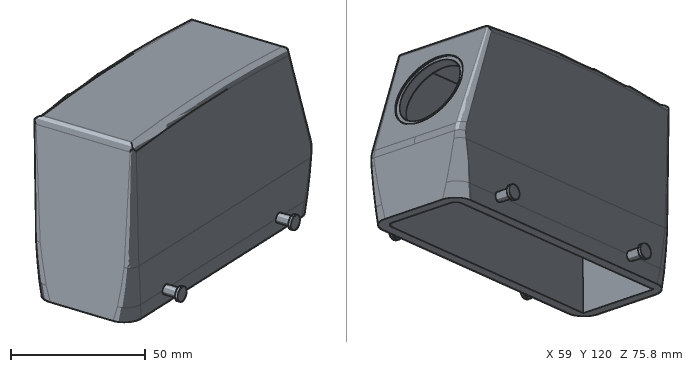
import cadquery as cq
import math

length = 120.0
half_length = length / 2
half_width = 22.7
wall = 4.5
end_draft = math.radians(0.7)

skirt_height = 6.5
flank_height = 23.3
flank_inset = 0.6

bottom_radius = 7.5
skirt_radius = 6.2
front_flank_radius = 4.1
rear_flank_radius = 3.2
rear_bend_radius = 2.9
front_top_radius = 1.5
rear_top_radius = 1.5

slope_angle = math.radians(20)
bend_height = 28.2
bend_reach = 1.8

crown_height = 75.8
crown_radius = 624.0
crown_y = -7.2
top_rounding = 2.9
rear_top_rounding = 1.7
column_height = 79.2

entry_diameter = 28.5
entry_rim_diameter = 31.8
entry_rim_depth = 0.6
entry_y = 51.4

pin_y = 37.1
pin_z = 6.1
pin_tip_x = 29.5
pin_diameter = 4.1
pin_head_diameter = 6.0
pin_head_thickness = 1.2

skirt_slope = 2 * flank_inset / (flank_height - skirt_height)
bottom_half_width = half_width - flank_inset - skirt_slope * skirt_height


def end_y(z):
    """Distance of a drafted end face from the middle."""
    return half_length - z * math.tan(end_draft)


def slope_y(z):
    """Position of the inclined rear face."""
    return end_y(bend_height) - (z - bend_height) * math.tan(slope_angle)


def crown_z(y):
    """Height of the crowned top."""
    return crown_height - crown_radius + math.sqrt(crown_radius**2 - (y - crown_y) ** 2)


def section(z, x, front, rear):
    """Horizontal outline of half width x; each end is (y, corner radius), radius 0 being square."""
    front_edge, front_radius = front
    rear_edge, rear_radius = rear
    right_half = cq.Workplane("XY", origin=(0, 0, z)).moveTo(0, front_edge)
    if front_radius > 0:
        inset = front_radius * (1 - math.sqrt(0.5))
        right_half = right_half.lineTo(x - front_radius, front_edge).threePointArc(
            (x - inset, front_edge + inset), (x, front_edge + front_radius))
    else:
        right_half = right_half.lineTo(x, front_edge)
    if rear_radius > 0:
        inset = rear_radius * (1 - math.sqrt(0.5))
        right_half = right_half.lineTo(x, rear_edge - rear_radius).threePointArc(
            (x - inset, rear_edge - inset), (x - rear_radius, rear_edge))
    else:
        right_half = right_half.lineTo(x, rear_edge)
    return right_half.lineTo(0, rear_edge).mirrorY().val()


def loft(sections, ruled=True):
    """Solid through the given outlines, straight between them when ruled."""
    return cq.Workplane(obj=cq.Solid.makeLoft(sections, ruled))


def lower_body():
    """Inclined skirt and curved flank, with both ends rounded."""
    middle_height = (skirt_height + flank_height) / 2
    bottom = section(0, bottom_half_width, (-end_y(0), bottom_radius), (end_y(0), bottom_radius))
    skirt = section(
        skirt_height, half_width - flank_inset,
        (-end_y(skirt_height), skirt_radius), (end_y(skirt_height), skirt_radius),
    )
    middle = section(
        middle_height, half_width - flank_inset / 4,
        (-end_y(middle_height), (skirt_radius + front_flank_radius) / 2),
        (end_y(middle_height), (skirt_radius + rear_flank_radius) / 2),
    )
    flank = section(
        flank_height, half_width,
        (-end_y(flank_height), front_flank_radius), (end_y(flank_height), rear_flank_radius),
    )
    return loft([bottom, skirt]).union(loft([skirt, middle, flank], ruled=False))


def upper_front():
    """Front half above the flank, its corners tapering to the top."""
    square_middle = (0, 0)
    heights = ((flank_height, front_flank_radius), (column_height, front_top_radius))
    return loft([section(z, half_width, (-end_y(z), radius), square_middle) for z, radius in heights])


def upper_rear():
    """Rear half: short upright band, rounded bend, then the inclined face."""
    bend_start = bend_height - bend_reach
    bend_end = bend_height + bend_reach
    bend_depth = (end_y(bend_end) - slope_y(bend_end)) / 4

    def rear_section(z, y, radius):
        return section(z, half_width, (0, 0), (y, radius))

    flank = rear_section(flank_height, end_y(flank_height), rear_flank_radius)
    start = rear_section(bend_start, end_y(bend_start), rear_bend_radius)
    middle = rear_section(bend_height, end_y(bend_height) - bend_depth, rear_bend_radius)
    finish = rear_section(bend_end, slope_y(bend_end), rear_bend_radius)
    top = rear_section(column_height, slope_y(column_height), rear_top_radius)
    upright = loft([flank, start])
    bend = loft([start, middle, finish], ruled=False)
    return upright.union(bend).union(loft([finish, top]))


def crowned_block(half_span):
    """Side profile with the crown and the inclined rear, extruded evenly to both sides."""
    front_top = -end_y(crown_height)
    rear_top = slope_y(crown_z(slope_y(crown_height)))
    return (
        cq.Workplane("YZ", origin=(-half_span, 0, 0))
        .moveTo(-half_length, 0)
        .lineTo(front_top, crown_z(front_top))
        .threePointArc((crown_y, crown_height), (rear_top, crown_z(rear_top)))
        .lineTo(slope_y(0), 0)
        .close()
        .extrude(2 * half_span)
    )


def top_rounded_at_sides():
    """As wide as the hood, with the two long edges of the crown rounded."""
    return crowned_block(half_width).faces(">Z").edges("not(|X)").fillet(top_rounding)


def top_rounded_at_ends():
    """Wider than the hood, so that the end roundings meet the side roundings in mitres."""
    front_rounded = crowned_block(half_length).faces(">Z").edges("|X and <Y").fillet(top_rounding)
    return front_rounded.faces(">Z").edges("|X and >Y").fillet(rear_top_rounding)


def cavity():
    """Inside of the hood, one wall thickness in from the sides, ends, slope and top."""
    x = bottom_half_width - wall
    slope_shift = wall / math.cos(slope_angle)
    ceiling = crown_z(slope_y(crown_height)) - wall
    rear = half_length - wall
    knee = bend_height + (end_y(bend_height) - slope_shift - rear) / math.tan(slope_angle)
    return (
        cq.Workplane("YZ", origin=(-x, 0, 0))
        .moveTo(-rear, 0)
        .lineTo(rear, 0)
        .lineTo(rear, knee)
        .lineTo(slope_y(ceiling) - slope_shift, ceiling)
        .lineTo(-end_y(ceiling) + wall, ceiling)
        .close()
        .extrude(2 * x)
        .edges("|Z").fillet(bottom_radius - wall)
    )


def cable_entry():
    """Round hole square to the inclined face, with a shallow rim recess."""
    entry_z = bend_height + (end_y(bend_height) - entry_y) / math.tan(slope_angle)
    inward = cq.Vector(0, -math.cos(slope_angle), -math.sin(slope_angle))
    centre = cq.Vector(0, entry_y, entry_z)
    hole = cq.Solid.makeCylinder(entry_diameter / 2, 2 * wall, centre - inward * wall / 2, inward)
    rim = cq.Solid.makeCylinder(
        entry_rim_diameter / 2, wall + entry_rim_depth, centre - inward * wall, inward)
    return cq.Workplane(obj=hole.fuse(rim))


def locking_pin(side, y):
    """Headed pin rooted in the side wall; side is -1 or 1 along X."""
    root_x = bottom_half_width - wall / 2
    return (
        cq.Workplane("YZ", origin=(side * root_x, y, pin_z))
        .circle(pin_diameter / 2)
        .extrude(side * (pin_tip_x - root_x))
        .union(
            cq.Workplane("YZ", origin=(side * pin_tip_x, y, pin_z))
            .circle(pin_head_diameter / 2)
            .extrude(-side * pin_head_thickness)
        )
    )


hood = lower_body().union(upper_front()).union(upper_rear()).clean()
hood = hood.intersect(top_rounded_at_sides()).intersect(top_rounded_at_ends())
hood = hood.cut(cavity()).cut(cable_entry())
for side in (-1, 1):
    for y in (-pin_y, pin_y):
        hood = hood.union(locking_pin(side, y))

result = hood.clean()